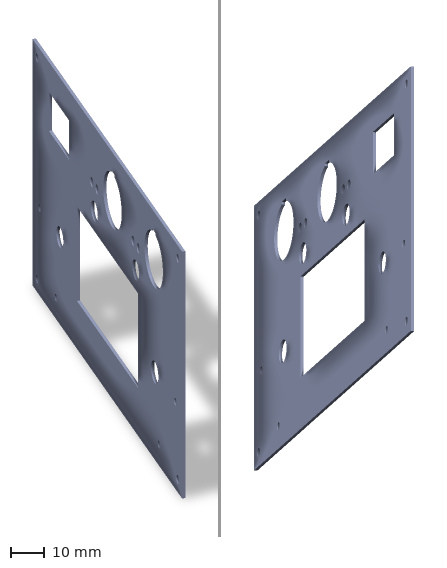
import cadquery as cq

width = 145.0
height = 82.2
thickness = 1.0

corner_x = 68.3
corner_z = 36.8
corner_diameter = 2.6
fixing_diameter = 2.3
side_fixing_x = 66.0
lower_fixing_x = 50.0
lower_fixing_z = -34.1

control_z = -12.0
left_control_x = -46.1
right_control_x = 46.0
left_control_diameter = 6.7
right_control_diameter = 7.1

display_width = 59.2
display_height = 31.5
display_z = -9.4
switch_width = 19.5
switch_height = 13.0
switch_x = -47.1
switch_z = 24.6

first_socket_x = 5.0
socket_pitch = 40.0
socket_z = 25.1
socket_diameter = 17.8
key_width = 3.8
key_top_z = 34.7
lamp_offsets = (-20.0, -15.0)
lamp_z = 21.5
lamp_diameter = 3.0
button_offset = -17.5
button_z = 12.9
button_diameter = 6.5


def cut_holes(panel, points, diameter):
    """Drill round holes through the panel at (x, z) points."""
    cutters = cq.Workplane("XZ").pushPoints(points).circle(diameter / 2).extrude(thickness, both=True)
    return panel.cut(cutters)


def cut_window(panel, x, z, window_width, window_height):
    """Cut a rectangular window centred on (x, z)."""
    cutter = cq.Workplane("XZ").center(x, z).rect(window_width, window_height).extrude(thickness, both=True)
    return panel.cut(cutter)


def cut_connector_group(panel, x):
    """Cut one socket with its key notch, lamps and button."""
    panel = cut_holes(panel, [(x, socket_z)], socket_diameter)
    key_height = key_top_z - socket_z
    panel = cut_window(panel, x, socket_z + key_height / 2, key_width, key_height)
    panel = cut_holes(panel, [(x + offset, lamp_z) for offset in lamp_offsets], lamp_diameter)
    return cut_holes(panel, [(x + button_offset, button_z)], button_diameter)


panel = cq.Workplane("XY").box(width, thickness, height)

for side in (-1, 1):
    corners = [(side * corner_x, -corner_z), (side * corner_x, corner_z)]
    fixings = [(side * side_fixing_x, control_z), (side * lower_fixing_x, lower_fixing_z)]
    panel = cut_holes(panel, corners, corner_diameter)
    panel = cut_holes(panel, fixings, fixing_diameter)

panel = cut_holes(panel, [(left_control_x, control_z)], left_control_diameter)
panel = cut_holes(panel, [(right_control_x, control_z)], right_control_diameter)

panel = cut_window(panel, 0, display_z, display_width, display_height)
panel = cut_window(panel, switch_x, switch_z, switch_width, switch_height)

for socket_x in (first_socket_x, first_socket_x + socket_pitch):
    panel = cut_connector_group(panel, socket_x)

result = panel